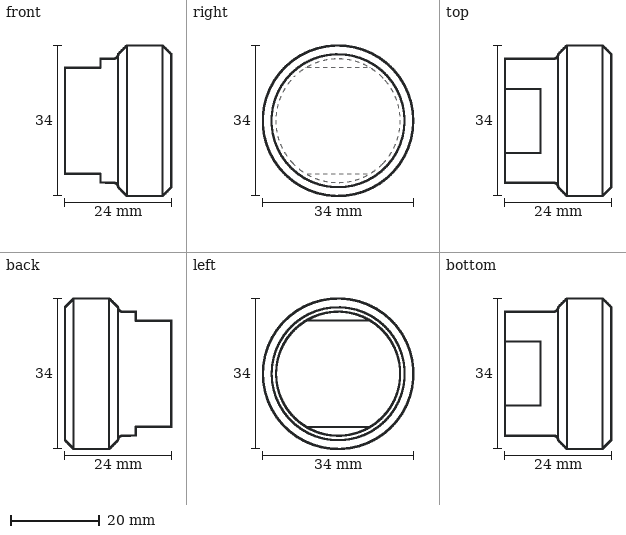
import cadquery as cq

total_length = 24.0
collar_diameter = 34.0
neck_diameter = 28.0
neck_length = 12.0
collar_chamfer = 2.0

flat_length = 8.0
width_across_flats = 24.0

collar_radius = collar_diameter / 2
neck_radius = neck_diameter / 2
chamfered_radius = collar_radius - collar_chamfer
root_fillet = chamfered_radius - neck_radius


def turned_body():
    """Neck, concave root fillet and double-chamfered collar as one revolved profile."""
    fillet_start = neck_length - root_fillet
    return (
        cq.Workplane("XY")
        .lineTo(0, neck_radius)
        .lineTo(fillet_start, neck_radius)
        .radiusArc((neck_length, chamfered_radius), -root_fillet)
        .lineTo(neck_length + collar_chamfer, collar_radius)
        .lineTo(total_length - collar_chamfer, collar_radius)
        .lineTo(total_length, chamfered_radius)
        .lineTo(total_length, 0)
        .close()
        .revolve(360, (0, 0, 0), (1, 0, 0))
    )


def flat_cutter(side):
    """Block that removes the neck material beyond one flat; side is +1 (+Z) or -1 (-Z)."""
    cut_depth = (neck_diameter - width_across_flats) / 2
    cut_center_z = side * (width_across_flats + cut_depth) / 2
    return (
        cq.Workplane("XY")
        .box(flat_length, neck_diameter, cut_depth, centered=(False, True, True))
        .translate((0, 0, cut_center_z))
    )


result = turned_body()
for side in (1, -1):
    result = result.cut(flat_cutter(side))